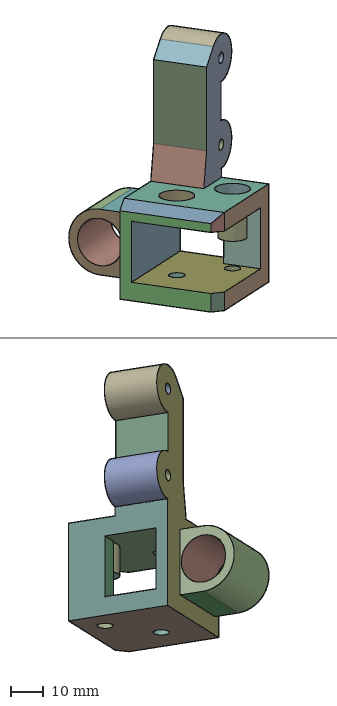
import cadquery as cq
import math

overall_height = 78.0
body_width = 34.0
body_depth = 35.25
plate_thickness = 6.0
cavity_height = 19.65
left_wall = 4.0
corner_chamfer = 3.1
body_height = 2 * plate_thickness + cavity_height
cavity_top = body_height - plate_thickness

block_thickness = plate_thickness
block_front = body_depth - block_thickness
boss_diameter = 9.05
boss_bottom = 16.15

front_bolt = (13.5, 12.5)
rear_bolt = (26.05, 26.0)
bolt_diameter = 5.0
counterbore_diameter = 11.0
counterbore_depth = 4.0

block_left = rear_bolt[0] - boss_diameter / 2

arm_width = 18.0
arm_front = 24.3
arm_foot_front = 22.3
arm_slope_top = 43.3
lug_radius = 7.7
lug_y = 34.9
lug_spacing = 28.0
upper_lug_z = overall_height - lug_radius
lower_lug_z = upper_lug_z - lug_spacing
lug_hole_diameter = 3.4

tube_overhang = 18.6
tube_radius = 10.6
tube_bore_radius = 7.605
tube_front = 2.6
tube_length = 23.9
tube_x = tube_radius - tube_overhang
tube_z = plate_thickness + tube_radius


def box(x0, x1, y0, y1, z0, z1):
    """Box between two opposite corners."""
    return cq.Workplane("XY").box(x1 - x0, y1 - y0, z1 - z0, centered=False).translate((x0, y0, z0))


def upright_cylinder(center, diameter, z0, z1):
    """Vertical cylinder about an XY point."""
    return cq.Workplane("XY", origin=(*center, z0)).circle(diameter / 2).extrude(z1 - z0)


def make_body():
    """C-shaped body: two plates, a left wall and a rear block with a boss."""
    body = box(0, body_width, 0, body_depth, 0, body_height)
    body = body.faces("<Y").edges(">X or >Z").chamfer(corner_chamfer)
    opening = box(left_wall, body_width, 0, body_depth, plate_thickness, cavity_top)
    block = box(block_left, body_width, block_front, body_depth, plate_thickness, cavity_top)
    boss = upright_cylinder(rear_bolt, boss_diameter, boss_bottom, cavity_top)
    return body.cut(opening).union(block).union(boss)


def make_arm():
    """Arm whose sloping top is tangent to the upper lug."""
    tangent_angle = math.pi - math.acos(lug_radius / (lug_y - arm_front))
    tangent_y = lug_y + lug_radius * math.cos(tangent_angle)
    tangent_z = upper_lug_z + lug_radius * math.sin(tangent_angle)
    back = lug_y + lug_radius
    arm = (
        cq.Workplane("YZ")
        .moveTo(arm_foot_front, body_height)
        .lineTo(arm_front, arm_slope_top)
        .lineTo(arm_front, upper_lug_z)
        .lineTo(tangent_y, tangent_z)
        .threePointArc((back, upper_lug_z), (lug_y, upper_lug_z - lug_radius))
        .lineTo(lug_y, lower_lug_z + lug_radius)
        .threePointArc((back, lower_lug_z), (lug_y, lower_lug_z - lug_radius))
        .lineTo(body_depth, lower_lug_z - lug_radius)
        .lineTo(body_depth, cavity_top)
        .lineTo(arm_foot_front, cavity_top)
        .close()
        .extrude(arm_width)
    )
    holes = (
        cq.Workplane("YZ")
        .pushPoints([(lug_y, lower_lug_z), (lug_y, upper_lug_z)])
        .circle(lug_hole_diameter / 2)
        .extrude(arm_width)
    )
    return arm.cut(holes)


def make_tube():
    """Tube along Y, joined to the left wall by a web of its full height."""
    tube_back = tube_front + tube_length
    axis = cq.Workplane("XZ", origin=(tube_x, tube_back, tube_z))
    web = box(tube_x, 0, tube_front, tube_back, tube_z - tube_radius, tube_z + tube_radius)
    return axis.circle(tube_radius).extrude(tube_length).union(web).cut(
        axis.circle(tube_bore_radius).extrude(tube_length)
    )


result = make_body().union(make_arm()).union(make_tube())
for bolt in (front_bolt, rear_bolt):
    result = result.cut(upright_cylinder(bolt, bolt_diameter, 0, body_height))
    result = result.cut(
        upright_cylinder(bolt, counterbore_diameter, body_height - counterbore_depth, body_height)
    )